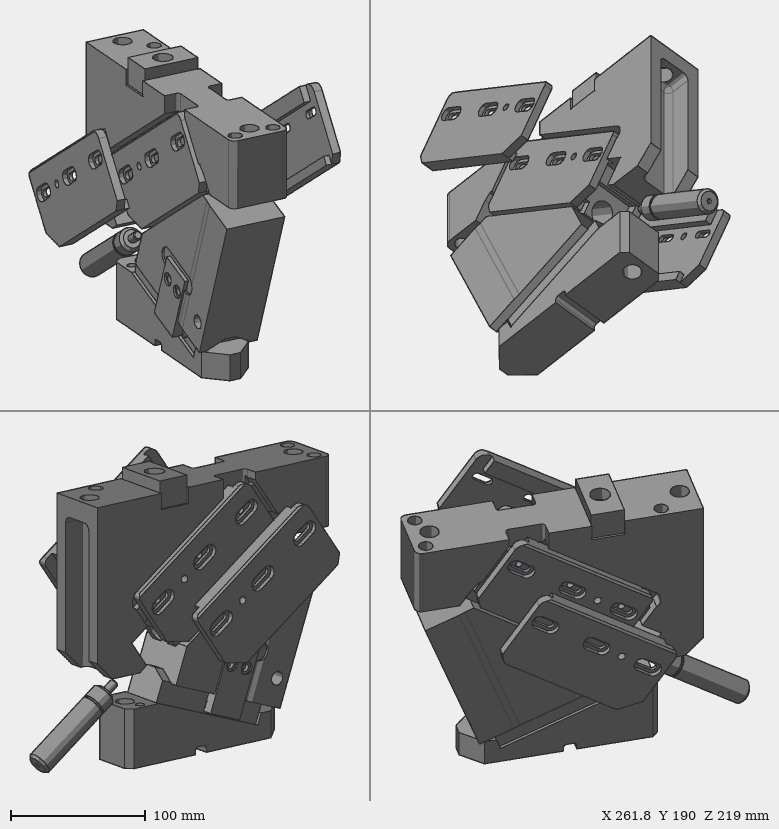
import cadquery as cq
import math

SLIDE_ANGLE = 35.0
DRIVER_ANGLE = -20.0

HEAD_LEFT, HEAD_RIGHT = 41.4, 261.8
HEAD_BOTTOM, HEAD_TOP = 74.9, 210.0
HEAD_HALF_WIDTH = 24.3
HEAD_CHAMFER = 14.1
HEAD_END_RADIUS = 5.2
NOSE_BOTTOM, NOSE_LEFT = 155.5, 228.3

KEY_LEFT, KEY_RIGHT = 101.5, 127.0
KEY_BOTTOM, KEY_TOP = 197.4, 219.0
KEY_HALF_WIDTH = 22.5

PLATE_CENTER = (142.0, 153.5)
PLATE_HALF_LENGTH = 62.8
PLATE_V_MIN, PLATE_V_MAX = -42.5, 20.5
PLATE_CORNER = 14.7
WALL = 6.8
UPPER_RIB = 5.5
LOWER_RIB = 4.5
UPPER_RIB_BOTTOM, LOWER_RIB_TOP = 7.9, -35.3
UPPER_RIB_HALF_LENGTH = 53.0
EDGE_CHAMFER = 1.5
SLOT_PITCH = 48.0
SLOT_TRAVEL = 11.5
SLOT_WIDTH, SLOT_SINK_WIDTH = 6.0, 11.3
SLOT_SINK_DEPTH = 4.0
PIN_HOLE_U, PIN_HOLE_DIAMETER = -23.3, 5.8
MOUNTED_FACE = 25.0
REMOVED_FACE = 95.0

DRIVER_ORIGIN = (102.3, 46.0)
SLIDE_P = (8.0, 112.0)
SLIDE_Q = (16.2, 138.0)
SLIDE_HALF_WIDTH, SLIDE_STEP_HALF_WIDTH = 24.5, 24.0
SLIDE_STEP_P = (79.0, 84.3)
SLIDE_V_TOP = -45.3
RAIL_U = (-54.5, 65.5)
RAIL_V_TOP = -19.6
CLIP_FACE = 25.7

BASE_LEFT, BASE_RIGHT = 74.0, 223.5
BASE_HALF_WIDTH = 20.0
BASE_HIGH, BASE_LOW = 46.0, 21.0
RIDGE_LENGTH = 99.5
RIDGE_HALF_WIDTH = 17.3

SPRING_V = -37.0
SPRING_RADIUS = 9.5
SPRING_START = -194.0
ROD_RADIUS = 3.5

CHANNEL_HALF_WIDTH = MOUNTED_FACE - WALL
RIB_HALF_GAP = CHANNEL_HALF_WIDTH - UPPER_RIB
NECK_HALF_WIDTH = CHANNEL_HALF_WIDTH - LOWER_RIB

DRILL_POINT_ANGLE = 118.0
FAR = 157.0


def tilted_plane(origin, angle, y=0.0):
    """Plane parallel to XZ whose local x is turned by angle; its normal points to -Y."""
    turn = math.radians(angle)
    return cq.Plane(
        origin=(origin[0], y, origin[1]),
        xDir=(math.cos(turn), 0, math.sin(turn)),
        normal=(0, -1, 0),
    )


def travel(y=0.0):
    return cq.Workplane(tilted_plane(PLATE_CENTER, SLIDE_ANGLE, y))


def driver(y=0.0):
    return cq.Workplane(tilted_plane(DRIVER_ORIGIN, DRIVER_ANGLE, y))


def travel_point(u, v):
    """(X, Z) of a point given in travel coordinates."""
    point = travel().plane.toWorldCoords((u, v))
    return (point.x, point.z)


def box_from(plane, first, second, near, far):
    """Box on a plane between two corners, from near to far along the normal."""
    width = second[0] - first[0]
    height = second[1] - first[1]
    middle = ((first[0] + second[0]) / 2, (first[1] + second[1]) / 2)
    return plane.workplane(offset=near).center(*middle).rect(width, height).extrude(far - near)


def mirrored_pair(shape):
    return shape.union(shape.mirror("XZ"))


def vertical_hole(x, y, top, diameter, depth):
    return cq.Workplane("XY", origin=(x, y, top)).circle(diameter / 2).extrude(-depth)


def blind_hole(position, direction, diameter, depth):
    """Drilled hole of the given depth with a conical drill point below it."""
    start, axis = cq.Vector(*position), cq.Vector(*direction)
    radius = diameter / 2
    point_height = radius / math.tan(math.radians(DRILL_POINT_ANGLE / 2))
    shank = cq.Solid.makeCylinder(radius, depth, start, axis)
    point = cq.Solid.makeCone(radius, 0, point_height, start + axis * depth, axis)
    return cq.Workplane(shank).union(cq.Workplane(point))


def travel_bar(radius, start, end):
    """Round bar on the spring axis."""
    x, z = travel_point(start, SPRING_V)
    turn = math.radians(SLIDE_ANGLE)
    plane = cq.Plane(origin=(x, 0, z), xDir=(0, 1, 0), normal=(math.cos(turn), 0, math.sin(turn)))
    return cq.Workplane(plane).circle(radius).extrude(end - start)


def guide_plate(face):
    """Guide plate on the -Y side whose outer face lies at Y = -face."""
    length, bottom, top = PLATE_HALF_LENGTH, PLATE_V_MIN, PLATE_V_MAX
    end_chamfer, low_radius, high_radius = 6.3, 4.5, 7.9
    outline = [
        (-length, bottom + PLATE_CORNER),
        (-length + PLATE_CORNER, bottom),
        (length - end_chamfer, bottom),
        (length, bottom + end_chamfer),
        (length, top),
        (-length, top),
    ]

    def corner_edge(u):
        """Middle of the upper corner edge at one end of the plate."""
        x, z = travel_point(u, top)
        return (x, (WALL + EDGE_CHAMFER) / 2 - face, z)

    plate = travel(WALL - face).polyline(outline).close().extrude(WALL)
    edge_x, edge_z = travel_point(0, top)
    outer_edge = cq.selectors.NearestToPointSelector((edge_x, -face, edge_z))
    plate = plate.edges(outer_edge).chamfer(EDGE_CHAMFER)
    low_corner = cq.selectors.NearestToPointSelector(corner_edge(-length))
    high_corner = cq.selectors.NearestToPointSelector(corner_edge(length))
    plate = plate.edges(low_corner).fillet(low_radius).edges(high_corner).fillet(high_radius)
    inner = travel(WALL - face)
    upper_rib = box_from(
        inner, (-UPPER_RIB_HALF_LENGTH, UPPER_RIB_BOTTOM), (UPPER_RIB_HALF_LENGTH, top), -UPPER_RIB, 0
    )
    lower_rib = box_from(
        inner,
        (-length + PLATE_CORNER, bottom),
        (length - end_chamfer, LOWER_RIB_TOP),
        -LOWER_RIB,
        0,
    )
    plate = plate.union(upper_rib).union(lower_rib)
    slots = [(i * SLOT_PITCH, 0) for i in (-1, 0, 1)]
    through = travel().pushPoints(slots).slot2D(SLOT_TRAVEL + SLOT_WIDTH, SLOT_WIDTH).extrude(FAR)
    sink = (
        travel(SLOT_SINK_DEPTH - face)
        .pushPoints(slots)
        .slot2D(SLOT_TRAVEL + SLOT_SINK_WIDTH, SLOT_SINK_WIDTH)
        .extrude(SLOT_SINK_DEPTH)
    )
    pin_hole = travel().center(PIN_HOLE_U, 0).circle(PIN_HOLE_DIAMETER / 2).extrude(FAR)
    return plate.cut(through).cut(sink).cut(pin_hole)


def head_outline():
    web_left, hook_left, hook_top, hook_bottom = -60.2, -87.0, -5.2, -29.3
    hook_tip = travel_point(-94.2, hook_bottom)
    return [
        (HEAD_LEFT, HEAD_BOTTOM + HEAD_CHAMFER),
        (HEAD_LEFT, HEAD_TOP),
        (HEAD_RIGHT, HEAD_TOP),
        (HEAD_RIGHT, NOSE_BOTTOM),
        (NOSE_LEFT, NOSE_BOTTOM),
        travel_point(71.7, -30.4),
        travel_point(70.2, -24.0),
        travel_point(RAIL_U[1], RAIL_V_TOP),
        travel_point(web_left, RAIL_V_TOP),
        travel_point(web_left, hook_top),
        travel_point(hook_left, hook_top),
        travel_point(hook_left, hook_bottom),
        (hook_tip[0], HEAD_BOTTOM),
        (HEAD_LEFT + HEAD_CHAMFER, HEAD_BOTTOM),
    ]


def plate_pocket():
    """Space for the guide plate on the -Y side of the head, open at the top of the head."""
    left, right, top, bottom = -69.0, 68.5, 24.0, -52.4
    corner_radius, relief_radius = 7.9, 5.2
    pocket = box_from(travel(), (left, bottom), (right, top), CHANNEL_HALF_WIDTH, FAR)
    pocket = pocket.edges("<X").fillet(corner_radius)
    rib_space = box_from(travel(), (left, UPPER_RIB_BOTTOM), (right, top), RIB_HALF_GAP, FAR)
    rib_space = rib_space.edges("<X").fillet(corner_radius)
    relief = travel(-RIB_HALF_GAP).center(-64.7, 16.5).circle(relief_radius).extrude(FAR)
    notch_left, notch_right, notch_depth, notch_radius = 160.0, 190.3, 12.0, 2.5
    notch_bottom = 193.7
    notch = (
        cq.Workplane("XY", origin=(0, 0, notch_bottom))
        .center((notch_left + notch_right) / 2, -FAR / 2 - notch_depth)
        .rect(notch_right - notch_left, FAR)
        .extrude(FAR)
        .edges("|Z and >Y")
        .fillet(notch_radius)
    )
    return pocket.union(rib_space).union(relief).union(notch)


def front_recess():
    half_width, depth, top, radius = 14.0, 21.0, 194.5, 5.0
    return (
        cq.Workplane("XY")
        .box(depth, 2 * half_width, top, centered=(False, True, False))
        .translate((HEAD_LEFT, 0, 0))
        .edges("(|Z and >X) or (>Z and >X) or (|X and >Z)")
        .fillet(radius)
    )


def make_head():
    head = (
        cq.Workplane("XZ")
        .polyline(head_outline())
        .close()
        .extrude(HEAD_HALF_WIDTH, both=True)
        .edges("|Z and >X")
        .fillet(HEAD_END_RADIUS)
    )
    key_slot = box_from(cq.Workplane("XZ"), (KEY_LEFT, KEY_BOTTOM), (KEY_RIGHT, FAR + KEY_TOP), -FAR, FAR)
    head = head.cut(mirrored_pair(plate_pocket())).cut(front_recess()).cut(key_slot)

    bolt_diameter, dowel_diameter = 14.1, 10.5
    recess_hole_depth, dowel_depth = 26.7, 21.0
    end_hole_y, end_hole_x = 16.0, 252.0
    head = head.cut(vertical_hole(53.1, 0, HEAD_TOP, bolt_diameter, recess_hole_depth))
    head = head.cut(blind_hole((71.7, 16.5, HEAD_TOP), (0, 0, -1), dowel_diameter, dowel_depth))
    head = head.cut(vertical_hole(245.0, 0, HEAD_TOP, bolt_diameter, FAR))
    for y in (-end_hole_y, end_hole_y):
        head = head.cut(vertical_hole(end_hole_x, y, HEAD_TOP, dowel_diameter, FAR))

    plate_screw_diameter, plate_screw_depth = 5.0, 10.5
    for i in (-1, 0, 1):
        x, z = travel_point(i * SLOT_PITCH, 0)
        screw_hole = blind_hole(
            (x, -CHANNEL_HALF_WIDTH, z), (0, 1, 0), plate_screw_diameter, plate_screw_depth
        )
        head = head.cut(mirrored_pair(screw_hole))
    mounted_plate = guide_plate(MOUNTED_FACE)
    return head.union(mounted_plate).union(mounted_plate.mirror("XZ"))


def make_key():
    screw_diameter, sink_diameter, sink_depth = 8.5, 15.2, 10.5
    middle = (KEY_LEFT + KEY_RIGHT) / 2
    key = box_from(
        cq.Workplane("XZ"), (KEY_LEFT, KEY_BOTTOM), (KEY_RIGHT, KEY_TOP), -KEY_HALF_WIDTH, KEY_HALF_WIDTH
    )
    key = key.cut(vertical_hole(middle, 0, KEY_TOP, sink_diameter, sink_depth))
    return key.cut(vertical_hole(middle, 0, KEY_TOP, screw_diameter, KEY_TOP - KEY_BOTTOM))


def driver_ridge(length):
    """Roof-shaped ridge that starts at p = 0 and runs down the slope."""
    half_width, shoulder, crest, crest_half_width = RIDGE_HALF_WIDTH, 17.3, 24.5, 4.7
    section = [
        (-half_width, 0),
        (half_width, 0),
        (half_width, shoulder),
        (crest_half_width, crest),
        (-crest_half_width, crest),
        (-half_width, shoulder),
    ]
    slope = driver().plane
    plane = cq.Plane(origin=slope.origin, xDir=(0, 1, 0), normal=slope.xDir)
    return cq.Workplane(plane).polyline(section).close().extrude(length)


def make_base():
    slope_end = driver().plane.toWorldCoords((RIDGE_LENGTH, 0))
    ridge_wall = (BASE_LOW - slope_end.z) / math.cos(math.radians(DRIVER_ANGLE))
    wall_top = driver().plane.toWorldCoords((RIDGE_LENGTH, ridge_wall))
    outline = [
        (BASE_LEFT, 0),
        (BASE_RIGHT, 0),
        (BASE_RIGHT, BASE_LOW),
        (wall_top.x, BASE_LOW),
        (slope_end.x, slope_end.z),
        DRIVER_ORIGIN,
        (BASE_LEFT, BASE_HIGH),
    ]
    base = cq.Workplane("XZ").polyline(outline).close().extrude(BASE_HALF_WIDTH, both=True)
    left_chamfer, right_chamfer = 5.0, 15.5
    plan = [
        (BASE_LEFT, BASE_HALF_WIDTH - left_chamfer),
        (BASE_LEFT + left_chamfer, BASE_HALF_WIDTH),
        (BASE_RIGHT - right_chamfer, BASE_HALF_WIDTH),
        (BASE_RIGHT, BASE_HALF_WIDTH - right_chamfer),
    ]
    plan += [(x, -y) for x, y in reversed(plan)]
    base = base.intersect(cq.Workplane("XY").polyline(plan).close().extrude(BASE_HIGH))
    base = base.union(driver_ridge(RIDGE_LENGTH))

    clip_slot_length, clip_slot_width, clip_slot_depth = 35.0, 12.0, 1.5
    clip_slot = (
        driver(-RIDGE_HALF_WIDTH)
        .center(64.7, 6.8)
        .slot2D(clip_slot_length, clip_slot_width)
        .extrude(-clip_slot_depth)
    )
    base = base.cut(clip_slot)

    notch_middle, notch_width, notch_height, notch_radius = 142.5, 10.2, 5.8, 2.5
    notch = (
        cq.Workplane("XY", origin=(notch_middle, 0, 0))
        .box(notch_width, FAR, 2 * notch_height)
        .edges("|Y")
        .fillet(notch_radius)
    )
    base = base.cut(notch)
    bolt_diameter, dowel_diameter, dowel_depth = 14.1, 6.8, 21.0
    base = base.cut(vertical_hole(86.5, 0, BASE_HIGH, bolt_diameter, BASE_HIGH))
    return base.cut(vertical_hole(90.3, -13.0, BASE_HIGH, dowel_diameter, dowel_depth))


def slide_clip():
    """Return clip on the -Y flank of the slide, reaching down beside the ridge."""
    left, right, bottom, top = 46.9, 76.0, 1.3, 56.3
    return box_from(driver(), (left, bottom), (right, top), RIDGE_HALF_WIDTH, CLIP_FACE)


def clip_screw_holes():
    """Sunk screw heads with deeper sockets in the clip face."""
    screw_places = [(54.2, 40.3), (68.8, 40.3)]
    sink_diameter, sink_depth, socket_diameter, socket_depth = 10.0, 1.5, 6.0, 5.2
    sinks = driver(-CLIP_FACE).pushPoints(screw_places).circle(sink_diameter / 2).extrude(-sink_depth)
    sockets = driver(-CLIP_FACE).pushPoints(screw_places).circle(socket_diameter / 2).extrude(-socket_depth)
    return sinks.union(sockets)


def make_slide():
    section = [
        (SLIDE_P[0], SLIDE_STEP_HALF_WIDTH),
        (SLIDE_STEP_P[0], SLIDE_STEP_HALF_WIDTH),
        (SLIDE_STEP_P[1], SLIDE_HALF_WIDTH),
        (SLIDE_P[1], SLIDE_HALF_WIDTH),
    ]
    section += [(p, -y) for p, y in reversed(section)]
    slope = driver().plane
    slide = (
        cq.Workplane(cq.Plane(origin=slope.origin, xDir=slope.xDir, normal=slope.yDir))
        .workplane(offset=SLIDE_Q[0])
        .polyline(section)
        .close()
        .extrude(SLIDE_Q[1] - SLIDE_Q[0])
    )
    above = box_from(travel(), (-FAR, SLIDE_V_TOP), (FAR, FAR), -FAR, FAR)
    slide = slide.cut(above)

    neck = box_from(
        travel(), (RAIL_U[0], SLIDE_V_TOP), (RAIL_U[1], RAIL_V_TOP), -NECK_HALF_WIDTH, NECK_HALF_WIDTH
    )
    rail = box_from(
        travel(), (RAIL_U[0], LOWER_RIB_TOP), (RAIL_U[1], RAIL_V_TOP), -CHANNEL_HALF_WIDTH, CHANNEL_HALF_WIDTH
    )
    slide = slide.union(neck).union(rail)

    bore_start, bore_end, rod_end = -70.7, 39.3, 71.7
    slide = slide.cut(travel_bar(SPRING_RADIUS, bore_start, bore_end))
    slide = slide.union(travel_bar(ROD_RADIUS, bore_end, rod_end))
    slide = slide.cut(driver_ridge(FAR))

    recess_p, recess_q, recess_length, recess_width, recess_depth = 61.5, 54.5, 48.2, 14.7, 2.0
    recess = (
        driver(-SLIDE_HALF_WIDTH)
        .center(recess_p, recess_q)
        .slot2D(recess_length, recess_width)
        .extrude(-recess_depth)
    )
    side_hole_diameter, side_hole_depth = 10.5, 21.0
    hole_start = driver(-SLIDE_HALF_WIDTH).plane.toWorldCoords((101.3, 37.7))
    side_hole = blind_hole(hole_start.toTuple(), (0, 1, 0), side_hole_diameter, side_hole_depth)
    return slide.cut(recess).cut(side_hole).union(slide_clip()).cut(clip_screw_holes())


def make_spring():
    groove_start, groove_width, groove_depth = 63.0, 1.5, 0.8
    shoulder, total = 77.7, 88.5
    end_chamfer, shoulder_chamfer, tip_chamfer = 2.0, 2.4, 0.8
    socket_radius, socket_depth = 1.8, 2.5
    profile = [
        (0, 0),
        (0, SPRING_RADIUS - end_chamfer),
        (end_chamfer, SPRING_RADIUS),
        (groove_start, SPRING_RADIUS),
        (groove_start, SPRING_RADIUS - groove_depth),
        (groove_start + groove_width, SPRING_RADIUS - groove_depth),
        (groove_start + groove_width, SPRING_RADIUS),
        (shoulder - shoulder_chamfer, SPRING_RADIUS),
        (shoulder, SPRING_RADIUS - shoulder_chamfer),
        (shoulder, ROD_RADIUS),
        (total - tip_chamfer, ROD_RADIUS),
        (total, ROD_RADIUS - tip_chamfer),
        (total, 0),
    ]
    spring = travel().center(SPRING_START, SPRING_V).polyline(profile).close().revolve(360, (0, 0), (1, 0))
    return spring.cut(travel_bar(socket_radius, SPRING_START, SPRING_START + socket_depth))


head = make_head()
key = make_key()
base = make_base()
slide = make_slide()
spring = make_spring()
loose_plate = guide_plate(REMOVED_FACE)
loose_plates = [loose_plate, loose_plate.mirror("XZ")]

result = cq.Compound.makeCompound(
    [head.val(), key.val(), base.val(), slide.val(), spring.val()] + [plate.val() for plate in loose_plates]
)